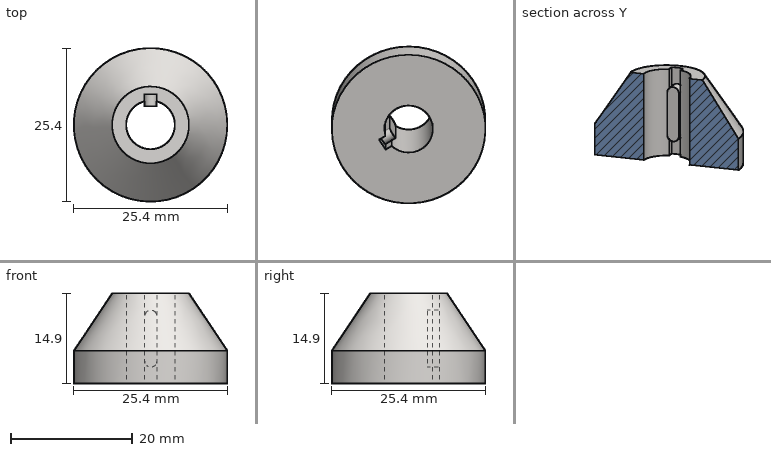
import cadquery as cq

base_diameter = 25.4
top_diameter = base_diameter / 2
total_height = 14.94
base_height = 5.44
bore_diameter = 8.0

key_width = 2.0
key_length = 9.4
key_outer_y = 5.08
key_inner_y = key_outer_y - key_width
key_center_z = total_height / 2


def make_hub():
    """Revolve the base and cone, then cut the bore and the keyway."""
    body = (
        cq.Workplane("XZ")
        .moveTo(0, 0)
        .lineTo(base_diameter / 2, 0)
        .lineTo(base_diameter / 2, base_height)
        .lineTo(top_diameter / 2, total_height)
        .lineTo(0, total_height)
        .close()
        .revolve(360, (0, 0), (0, 1))
    )
    bore = cq.Workplane("XY").circle(bore_diameter / 2).extrude(total_height)
    keyway = (
        cq.Workplane("XY")
        .center(0, key_outer_y / 2)
        .rect(key_width, key_outer_y)
        .extrude(total_height)
    )
    return body.cut(bore).cut(keyway)


def make_key():
    """Key seated in the keyway, its inner side standing into the bore."""
    return (
        cq.Workplane("XZ", origin=(0, key_outer_y, key_center_z))
        .slot2D(key_length, key_width, angle=90)
        .extrude(key_outer_y - key_inner_y)
    )


hub = make_hub()
key = make_key()

result = cq.Compound.makeCompound([hub.val(), key.val()])